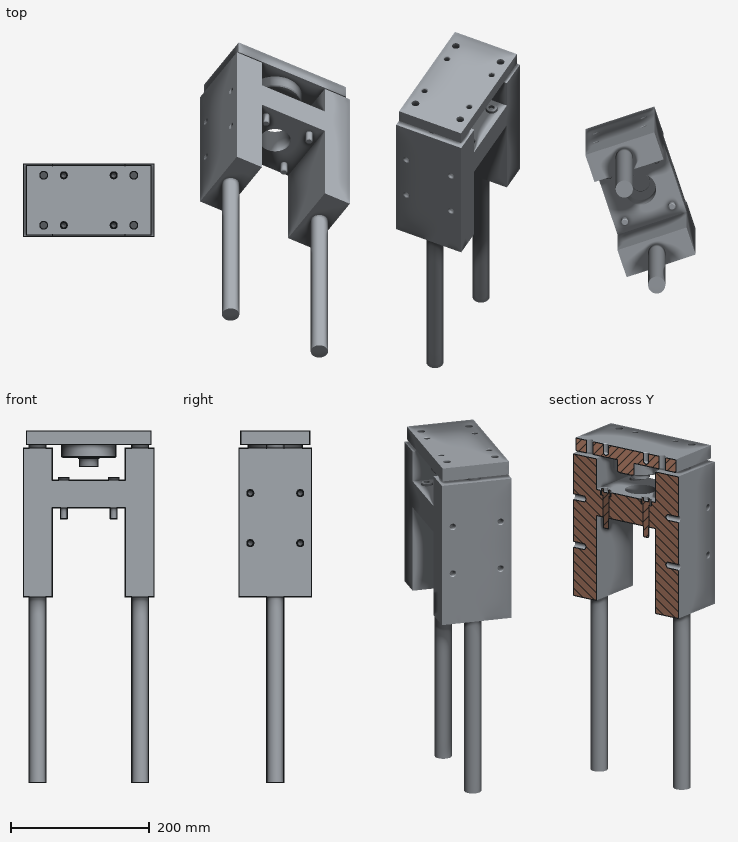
import cadquery as cq

TOTAL_HEIGHT = 508.0

PLATE_LENGTH = 180.0
PLATE_WIDTH = 100.0
PLATE_THICKNESS = 20.0
PLATE_BOTTOM = TOTAL_HEIGHT - PLATE_THICKNESS

BOLT_OFFSET = 36.0
BOLT_POINTS = [(x, y) for x in (-BOLT_OFFSET, BOLT_OFFSET) for y in (-BOLT_OFFSET, BOLT_OFFSET)]

CLEARANCE_DIAMETER = 11.0
CLEARANCE_X = 65.0
CLEARANCE_POINTS = [(x, y) for x in (-CLEARANCE_X, CLEARANCE_X) for y in (-BOLT_OFFSET, BOLT_OFFSET)]

MOUTH_DIAMETER = 10.0
BORE_DIAMETER = 8.0
MOUTH_CHAMFER = (MOUTH_DIAMETER - BORE_DIAMETER) / 2
PLATE_HOLE_DEPTH = 14.0
SIDE_HOLE_DEPTH = 20.5
DRILL_TIP_HEIGHT = 2.5

ROD_DIAMETER = 25.0
ROD_X = 74.0

FLANGE_DIAMETER = 78.0
FLANGE_HEIGHT = 19.0
FLANGE_CHAMFER = 1.5
COLLAR_DIAMETER = 30.0
COLLAR_HEIGHT = 1.5
STUB_DIAMETER = 27.5
STUB_CHAMFER = 0.5
COUPLING_HEIGHT = 32.0

HOUSING_LENGTH = 189.0
HOUSING_WIDTH = 105.0
HOUSING_HEIGHT = 215.0
HOUSING_GAP = 5.0
HOUSING_TOP = PLATE_BOTTOM - HOUSING_GAP
HOUSING_BOTTOM = HOUSING_TOP - HOUSING_HEIGHT
LEG_SPACING = 105.0
WEB_DROP = 46.0
WEB_THICKNESS = 40.0
WEB_TOP = HOUSING_TOP - WEB_DROP
WEB_BOTTOM = WEB_TOP - WEB_THICKNESS
WEB_BORE_DIAMETER = 45.0
SIDE_HOLE_CENTRE_Z = HOUSING_TOP - 101.0

HEAD_DIAMETER = 16.0
HEAD_HEIGHT = 10.0
HEAD_CHAMFER = 0.5
HEAD_PROTRUSION = 3.5
SHANK_DIAMETER = 10.0
SHANK_PROTRUSION = 16.5
SHANK_CHAMFER = 1.0
SOCKET_SIDES = 6
SOCKET_ACROSS_FLATS = 8.0
SOCKET_DEPTH = 5.0
COUNTERBORE_DIAMETER = 18.0
HEAD_TOP = WEB_TOP + HEAD_PROTRUSION
HEAD_SEAT = HEAD_TOP - HEAD_HEIGHT


def cylinder(diameter, bottom, top, points=((0, 0),)):
    """Vertical cylinders between two heights, one at each (x, y) point."""
    return cq.Workplane("XY", origin=(0, 0, bottom)).pushPoints(points).circle(diameter / 2).extrude(top - bottom)


def box(length, width, bottom, top):
    """Block centred on the Z axis between two heights."""
    return cq.Workplane("XY", origin=(0, 0, bottom)).rect(length, width).extrude(top - bottom)


def tapped_hole_cutter(depth):
    """Solid of one tapped hole, mouth at the origin, going down -Z."""
    mouth_radius = MOUTH_DIAMETER / 2
    bore_radius = BORE_DIAMETER / 2
    profile = [
        (0, 0),
        (mouth_radius, 0),
        (bore_radius, -MOUTH_CHAMFER),
        (bore_radius, -depth),
        (0, -depth - DRILL_TIP_HEIGHT),
    ]
    return cq.Workplane("XZ").polyline(profile).close().revolve(360, (0, 0), (0, 1))


def rods():
    """Both guide rods, also used to cut their bores in the housing."""
    return cylinder(ROD_DIAMETER, 0, PLATE_BOTTOM, [(-ROD_X, 0), (ROD_X, 0)])


def coupling():
    """Flange, thin collar and stub hanging from the underside of the plate."""
    flange_bottom = PLATE_BOTTOM - FLANGE_HEIGHT
    flange = cylinder(FLANGE_DIAMETER, flange_bottom, PLATE_BOTTOM).faces("<Z").chamfer(FLANGE_CHAMFER)
    collar = cylinder(COLLAR_DIAMETER, flange_bottom - COLLAR_HEIGHT, flange_bottom)
    stub = cylinder(STUB_DIAMETER, PLATE_BOTTOM - COUPLING_HEIGHT, flange_bottom)
    return flange.union(collar).union(stub.faces("<Z").chamfer(STUB_CHAMFER))


def make_slide():
    """Moving plate with its two guide rods and the coupling."""
    plate = box(PLATE_LENGTH, PLATE_WIDTH, PLATE_BOTTOM, TOTAL_HEIGHT)
    plate = plate.cut(cylinder(CLEARANCE_DIAMETER, PLATE_BOTTOM, TOTAL_HEIGHT, CLEARANCE_POINTS))
    for x, y in BOLT_POINTS:
        plate = plate.cut(tapped_hole_cutter(PLATE_HOLE_DEPTH).translate((x, y, TOTAL_HEIGHT)))
    return plate.union(rods()).union(coupling())


def make_housing():
    """H-shaped block that carries the rods and the screws."""
    housing = box(HOUSING_LENGTH, HOUSING_WIDTH, HOUSING_BOTTOM, HOUSING_TOP)
    housing = housing.cut(box(LEG_SPACING, HOUSING_WIDTH, WEB_TOP, HOUSING_TOP))
    housing = housing.cut(box(LEG_SPACING, HOUSING_WIDTH, HOUSING_BOTTOM, WEB_BOTTOM))
    housing = housing.cut(rods())
    housing = housing.cut(cylinder(WEB_BORE_DIAMETER, WEB_BOTTOM, WEB_TOP))
    housing = housing.cut(cylinder(COUNTERBORE_DIAMETER, HEAD_SEAT, WEB_TOP, BOLT_POINTS))
    housing = housing.cut(cylinder(SHANK_DIAMETER, WEB_BOTTOM, HEAD_SEAT, BOLT_POINTS))
    left_cutter = tapped_hole_cutter(SIDE_HOLE_DEPTH).rotate((0, 0, 0), (0, 1, 0), -90)
    for y, z in BOLT_POINTS:
        left_hole = left_cutter.translate((-HOUSING_LENGTH / 2, y, SIDE_HOLE_CENTRE_Z + z))
        housing = housing.cut(left_hole).cut(left_hole.mirror("YZ"))
    return housing


def make_screw(x, y):
    """Hexagon socket head screw, its head seated in a counterbore of the web."""
    shank = cylinder(SHANK_DIAMETER, WEB_BOTTOM - SHANK_PROTRUSION, HEAD_SEAT).faces("<Z").chamfer(SHANK_CHAMFER)
    head = cylinder(HEAD_DIAMETER, HEAD_SEAT, HEAD_TOP).faces(">Z").chamfer(HEAD_CHAMFER)
    socket = cq.Workplane("XY", origin=(0, 0, HEAD_TOP))
    socket = socket.polygon(SOCKET_SIDES, SOCKET_ACROSS_FLATS, circumscribed=True).extrude(-SOCKET_DEPTH)
    return head.union(shank).cut(socket).translate((x, y, 0))


slide = make_slide()
housing = make_housing()
screws = [make_screw(x, y) for x, y in BOLT_POINTS]

result = cq.Compound.makeCompound([slide.val(), housing.val(), *[screw.val() for screw in screws]])